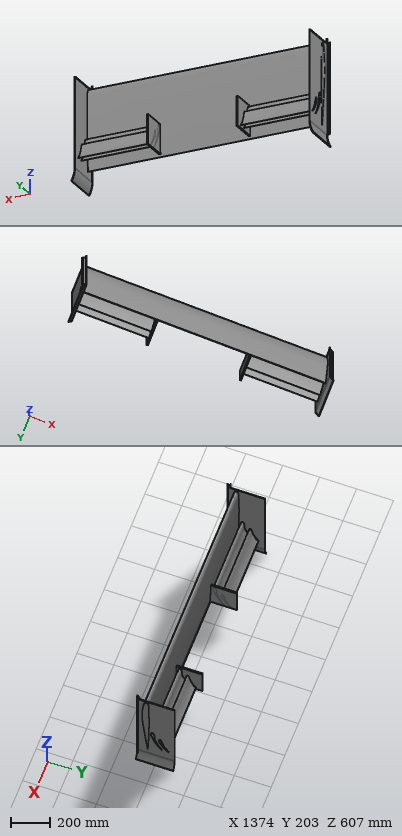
import cadquery as cq
import math

SPAN = 1374.0
DEPTH = 203.0
HEIGHT = 607.0

SHEET = 4.0
OVERHANG = 20.0
PLATE_OUTER_X = SPAN / 2 - OVERHANG
PLATE_INNER_X = PLATE_OUTER_X - SHEET
PLATE_BOTTOM = 70.0
PLATE_TOP = 580.0
PEAK_LENGTH = 18.0
PEAK_TIP_WIDTH = 4.0
PEAK_SAG = 1.0
FLARE_ANGLE = 31.0
STRIP_SWEEP = 11.0

SUPPORT_INNER_X = 250.0
SUPPORT_THICKNESS = 8.0
SUPPORT_FRONT_Y = 58.0
SUPPORT_BOTTOM = 124.0
SUPPORT_TOP = 289.0

MAIN_WING = [
    (55.0, 107.0), (48.0, 183.0), (32.0, 325.0), (26.0, 440.0), (35.0, 533.0), (41.0, 558.0),
    (50.0, 568.0), (58.0, 558.0), (62.0, 529.0), (63.0, 440.0), (63.0, 247.0), (58.0, 107.0),
]
FRONT_FLAP = [
    (132.0, 137.0), (96.0, 192.0), (77.0, 242.0), (74.0, 265.0),
    (81.0, 278.0), (90.0, 270.0), (93.0, 234.0), (105.0, 194.0), (133.0, 139.0),
]
REAR_FLAP = [
    (169.0, 137.0), (145.0, 162.0), (128.0, 192.0), (118.0, 223.0),
    (124.0, 234.0), (129.0, 227.0), (139.0, 195.0), (151.0, 166.0), (170.0, 139.0),
]


def wing(section, x_start, x_end):
    """Wing with a smooth round nose and a thin square tail, running along X."""
    return (
        cq.Workplane("YZ", origin=(x_start, 0, 0))
        .spline(section)
        .close()
        .extrude(x_end - x_start)
    )


def plate_panel():
    """Flat part of the right end plate, with a hollow-edged peak at its top front corner."""
    peak_middle = (
        (PEAK_LENGTH + PEAK_TIP_WIDTH) / 2 - PEAK_SAG,
        (PLATE_TOP + HEIGHT) / 2 - PEAK_SAG / 2,
    )
    return (
        cq.Workplane("YZ", origin=(PLATE_INNER_X, 0, 0))
        .moveTo(0, PLATE_BOTTOM)
        .lineTo(DEPTH, PLATE_BOTTOM)
        .lineTo(DEPTH, PLATE_TOP)
        .lineTo(PEAK_LENGTH, PLATE_TOP)
        .threePointArc(peak_middle, (PEAK_TIP_WIDTH, HEIGHT))
        .lineTo(0, HEIGHT)
        .close()
        .extrude(SHEET)
    )


def plate_flare():
    """Lower part of the right end plate, curving outward to the lowest edge."""
    angle = math.radians(FLARE_ANGLE)
    inner_radius = PLATE_BOTTOM / math.sin(angle)
    outer_radius = inner_radius - SHEET
    centre_x = PLATE_INNER_X + inner_radius

    def bend_point(radius, turn):
        return (centre_x - radius * math.cos(turn), PLATE_BOTTOM - radius * math.sin(turn))

    return (
        cq.Workplane("XZ")
        .moveTo(PLATE_OUTER_X, PLATE_BOTTOM)
        .threePointArc(bend_point(outer_radius, angle / 2), bend_point(outer_radius, angle))
        .lineTo(*bend_point(inner_radius, angle))
        .threePointArc(bend_point(inner_radius, angle / 2), (PLATE_INNER_X, PLATE_BOTTOM))
        .close()
        .extrude(-DEPTH)
    )


def front_strip():
    """Strip slanting outward and backward from the front edge of the right end plate, cut square to Y."""
    slant = math.atan2(STRIP_SWEEP, OVERHANG)
    front_tip = (SPAN / 2, STRIP_SWEEP)
    rear_tip = (SPAN / 2 - SHEET / math.sin(slant), STRIP_SWEEP)
    front_root = (PLATE_OUTER_X, 0)
    rear_root = (PLATE_OUTER_X, SHEET / math.cos(slant))
    return (
        cq.Workplane("XY", origin=(0, 0, PLATE_BOTTOM))
        .polyline([front_root, front_tip, rear_tip, rear_root])
        .close()
        .extrude(PLATE_TOP - PLATE_BOTTOM)
    )


def flap_support():
    """Upright plate carrying the inner ends of the right pair of flaps."""
    return cq.Workplane("XY").box(
        SUPPORT_THICKNESS,
        DEPTH - SUPPORT_FRONT_Y,
        SUPPORT_TOP - SUPPORT_BOTTOM,
        centered=False,
    ).translate((SUPPORT_INNER_X, SUPPORT_FRONT_Y, SUPPORT_BOTTOM))


main_wing = wing(MAIN_WING, -PLATE_OUTER_X, PLATE_OUTER_X)
right_flaps = [wing(section, SUPPORT_INNER_X, PLATE_OUTER_X) for section in (FRONT_FLAP, REAR_FLAP)]
right_parts = [plate_panel(), plate_flare(), front_strip(), flap_support()] + right_flaps

result = main_wing
for part in right_parts:
    result = result.union(part, clean=False)
    result = result.union(part.mirror("YZ"), clean=False)